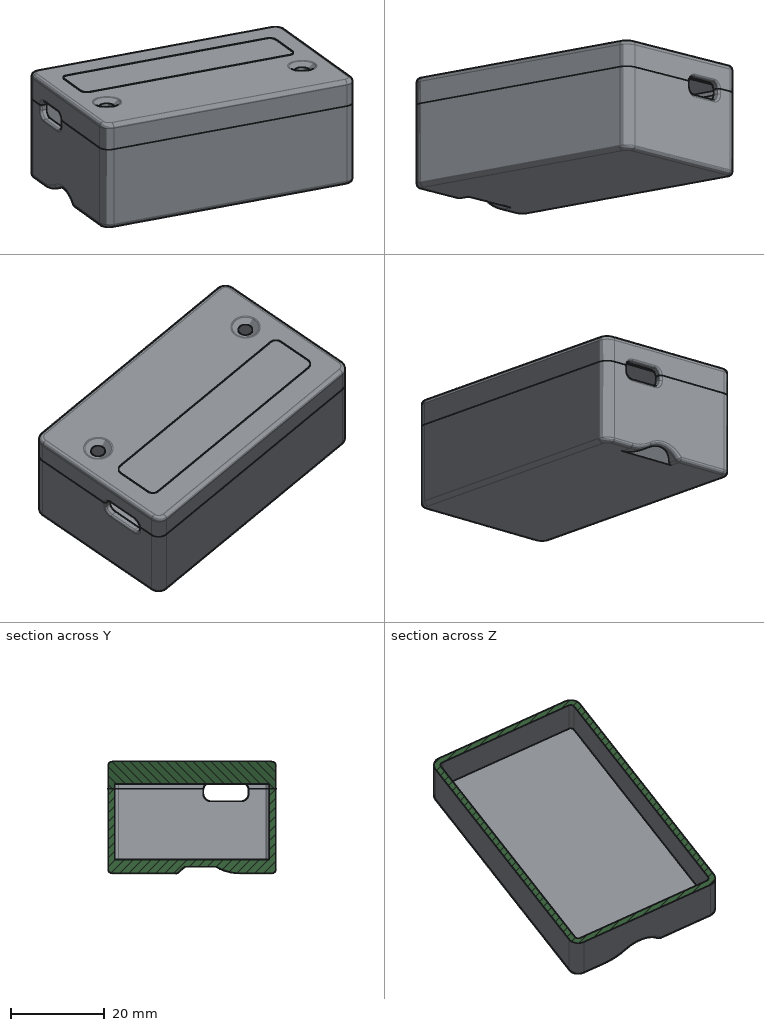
import cadquery as cq
import math

LENGTH = 60.4
WIDTH = 36.0
HEIGHT = 24.0
CORNER_RADIUS = 2.3
EDGE_RADIUS = 0.95
PARTING_Z = 18.1

WALL = 1.5
FLOOR = 3.0
CEILING_Z = PARTING_Z + 0.95
CAVITY_CORNER_RADIUS = CORNER_RADIUS - WALL

PORT_X = -7.25
PORT_Z = 17.45
PORT_WIDTH = 9.6
PORT_HEIGHT = 4.0
PORT_CORNER_RADIUS = 1.6
PORT_EDGE_RADIUS = 0.5

NOTCH_X = -1.8
NOTCH_HEIGHT = 2.35
NOTCH_CREST_RADIUS = 6.15
NOTCH_LEFT_RADIUS = 11.0
NOTCH_RIGHT_RADIUS = 1.0
NOTCH_TOP_DEPTH = 1.0
NOTCH_BOTTOM_DEPTH = NOTCH_TOP_DEPTH + NOTCH_HEIGHT

LABEL_X = -6.45
LABEL_WIDTH = 10.9
LABEL_LENGTH = 50.75
LABEL_CORNER_RADIUS = 1.5
LABEL_DEPTH = 0.1

SCREW_X = 5.85
SCREW_Y = 23.4
SCREW_HOLE_DIAMETER = 3.0
SINK_DIAMETER = 6.0
SINK_DEPTH = 0.95
SINK_RIM_RADIUS = 0.5

FRONT_Y = -LENGTH / 2
BACK_Y = LENGTH / 2


def rounded_block(width, length, bottom, top, radius):
    """Upright block with rounded vertical edges, centred on the Z axis."""
    block = cq.Workplane("XY", origin=(0, 0, bottom)).rect(width, length).extrude(top - bottom)
    return block.edges("|Z").fillet(radius)


def box_around(centre, size):
    """Selector for everything centred inside a box."""
    low = tuple(c - d / 2 for c, d in zip(centre, size))
    high = tuple(c + d / 2 for c, d in zip(centre, size))
    return cq.selectors.BoxSelector(low, high)


def cut_port(case, outer_y, inward):
    """Port opening through one end wall, with its outer rim rounded over."""
    plane = cq.Plane(origin=(PORT_X, outer_y, PORT_Z), xDir=(1, 0, 0), normal=(0, inward, 0))
    opening = cq.Workplane(plane).rect(PORT_WIDTH, PORT_HEIGHT).extrude(WALL)
    opening = opening.edges("|Y").fillet(PORT_CORNER_RADIUS)
    rim_size = (PORT_WIDTH + PORT_EDGE_RADIUS, PORT_EDGE_RADIUS, PORT_HEIGHT + PORT_EDGE_RADIUS)
    rim = box_around((PORT_X, outer_y, PORT_Z), rim_size)
    return case.cut(opening).edges(rim).fillet(PORT_EDGE_RADIUS)


def notch_cutter():
    """Notch whose crest arc runs out tangentially into the underside, closed behind by a sloping face."""
    crest_centre_z = NOTCH_HEIGHT - NOTCH_CREST_RADIUS

    def run_out(radius, side):
        """End, middle and crest-side points of the arc joining the underside to the crest arc."""
        reach = math.sqrt((NOTCH_CREST_RADIUS + radius) ** 2 - (radius - crest_centre_z) ** 2)
        full_angle = math.asin(reach / (NOTCH_CREST_RADIUS + radius))
        return [
            (NOTCH_X + side * (reach - radius * math.sin(angle)), radius * (1 - math.cos(angle)))
            for angle in (0, full_angle / 2, full_angle)
        ]

    left_end, left_middle, left_join = run_out(NOTCH_LEFT_RADIUS, -1)
    right_end, right_middle, right_join = run_out(NOTCH_RIGHT_RADIUS, 1)
    profile = (
        cq.Workplane("XZ", origin=(0, FRONT_Y, 0))
        .moveTo(*left_end)
        .threePointArc(left_middle, left_join)
        .threePointArc((NOTCH_X, NOTCH_HEIGHT), right_join)
        .threePointArc(right_middle, right_end)
        .close()
        .extrude(-NOTCH_BOTTOM_DEPTH)
    )
    ramp = (
        cq.Workplane("YZ", origin=(left_end[0], 0, 0))
        .moveTo(FRONT_Y, 0)
        .lineTo(FRONT_Y + NOTCH_BOTTOM_DEPTH, 0)
        .lineTo(FRONT_Y + NOTCH_TOP_DEPTH, NOTCH_HEIGHT)
        .lineTo(FRONT_Y, NOTCH_HEIGHT)
        .close()
        .extrude(right_end[0] - left_end[0])
    )
    return profile.intersect(ramp)


def cut_screw_hole(lid, x, y):
    """Countersunk through hole whose rim is rounded over into the top face."""
    hole_radius = SCREW_HOLE_DIAMETER / 2
    sink_radius = SINK_DIAMETER / 2
    cutter = (
        cq.Workplane("XZ", origin=(x, y, 0))
        .moveTo(0, PARTING_Z)
        .lineTo(hole_radius, PARTING_Z)
        .lineTo(hole_radius, HEIGHT - SINK_DEPTH)
        .lineTo(sink_radius, HEIGHT)
        .lineTo(0, HEIGHT)
        .close()
        .revolve(360, (0, 0, 0), (0, 1, 0))
    )
    rim = box_around((x, y, HEIGHT), (SINK_DIAMETER, SINK_DIAMETER, SINK_DEPTH))
    return lid.cut(cutter).edges("%CIRCLE").edges(rim).fillet(SINK_RIM_RADIUS)


def round_lower_edges(case):
    """Round the bottom outline and the mouth of the notch, leaving the edges inside the notch sharp."""
    low_edges = box_around((0, 0, 0), (2 * WIDTH, 2 * LENGTH, 2 * NOTCH_HEIGHT))
    straight_width = WIDTH - 2 * CORNER_RADIUS
    inner_edges = box_around((0, 0, 0), (straight_width, LENGTH - EDGE_RADIUS, 2 * NOTCH_HEIGHT))
    return case.edges(low_edges - inner_edges).fillet(EDGE_RADIUS)


def make_case():
    """Closed hollow case, later divided at the parting plane into base and lid."""
    case = rounded_block(WIDTH, LENGTH, 0, HEIGHT, CORNER_RADIUS)
    case = case.faces(">Z").edges().fillet(EDGE_RADIUS)
    case = round_lower_edges(case.cut(notch_cutter()))
    inner_width = WIDTH - 2 * WALL
    inner_length = LENGTH - 2 * WALL
    case = case.cut(rounded_block(inner_width, inner_length, FLOOR, CEILING_Z, CAVITY_CORNER_RADIUS))
    case = cut_port(case, FRONT_Y, 1)
    return cut_port(case, BACK_Y, -1)


def slab(bottom, top):
    """Full-size slice of the case's bounding box."""
    return cq.Workplane("XY", origin=(0, 0, bottom)).rect(WIDTH, LENGTH).extrude(top - bottom)


def make_base(case):
    return case.intersect(slab(0, PARTING_Z))


def make_lid(case):
    lid = case.intersect(slab(PARTING_Z, HEIGHT))
    label = rounded_block(LABEL_WIDTH, LABEL_LENGTH, HEIGHT - LABEL_DEPTH, HEIGHT, LABEL_CORNER_RADIUS)
    lid = lid.cut(label.translate((LABEL_X, 0, 0)))
    for y in (-SCREW_Y, SCREW_Y):
        lid = cut_screw_hole(lid, SCREW_X, y)
    return lid


case = make_case()
base = make_base(case)
lid = make_lid(case)
result = cq.Compound.makeCompound([base.solids().val(), lid.solids().val()])